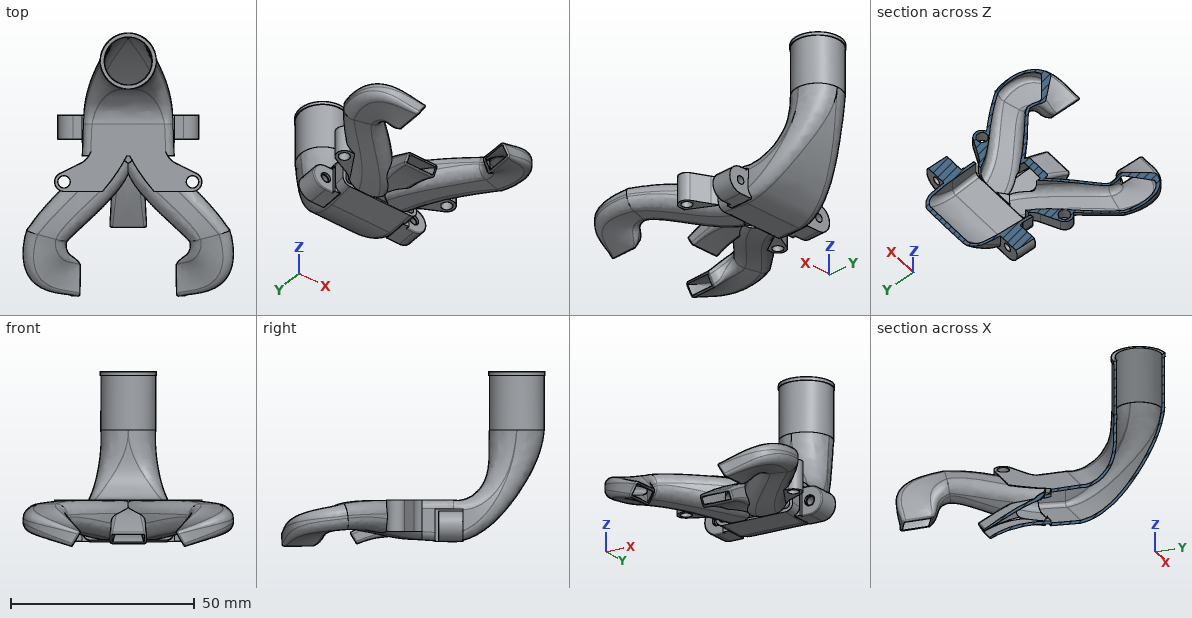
import cadquery as cq
import math


TUBE_DIAMETER = 15.0
RIM_DIAMETER = 15.3
RIM_HEIGHT = 1.0
TUBE_TOP = 34.9
TUBE_BOTTOM = 19.0
TUBE_WALL = 0.9

DUCT_WALL = 1.0
NOZZLE_WALL = 0.65
NOZZLE_EDGE = 0.35
SMALLEST_CORNER = 0.2

BODY_WIDTH = 24.35
BODY_HEIGHT = 11.45
BODY_CORNER = 2.3
BODY_REAR = -17.2
BODY_FRONT = -25.8
BODY_FRONT_WIDTH = 25.05
BODY_FRONT_HEIGHT = 10.9

SHOULDER_Y = -22.9
NECK_POINT = (10.8, -25.9)
FLANK_POINT = (13.25, -27.9)
V_APEX = (0, -25.05)
V_MIDDLE = (3.6, -31.1)
V_END_X = 7.0

EAR_X = 17.5
EAR_Y = -32.9
EAR_RADIUS = 2.6
EAR_DEPTH = 8.6
EAR_HOLE_DIAMETER = 3.3

LUG_X = 15.05
LUG_Z = -7.15
LUG_RADIUS = 4.15
LUG_REAR = -14.7
LUG_LENGTH = 6.65
LUG_EDGE = 0.3
LUG_ROOT_X = 10.75
PAD_X = 12.6
PAD_TOP = -2.5
PAD_LENGTH = 7.5
LUG_HOLE_DIAMETER = 2.5
LUG_MOUTH_DIAMETER = 3.1
LUG_MOUTH_DEPTH = 0.7

FORWARD = -90
ELBOW = [
    (0, 0, TUBE_BOTTOM, FORWARD, 90, TUBE_DIAMETER, TUBE_DIAMETER, 7.45),
    (0, -1.9, 8.6, FORWARD, 78, 16.3, 11.75, 5.7),
    (0, -7.4, -0.8, FORWARD, 42, 21.2, 9.2, 3.6),
    (0, -12.3, -4.6, FORWARD, 18, 23.6, 10.2, 2.85),
    (0, BODY_REAR, -BODY_HEIGHT / 2, FORWARD, 0, BODY_WIDTH, BODY_HEIGHT, BODY_CORNER),
]
BODY = [
    ELBOW[-1],
    (0, BODY_FRONT, -BODY_FRONT_HEIGHT / 2, FORWARD, 0, BODY_FRONT_WIDTH, BODY_FRONT_HEIGHT, BODY_CORNER),
]
ARM_LEG = [
    (3.7, -25.05, -5.45, -53, 0, 12.2, 10.75, 3.1),
    (11.1, -35.8, -4.8, -50, 0, 11.45, 9.3, 3.6),
    (16.5, -41.1, -4.3, -48, 3, 11.2, 8.15, 3.6),
    (22.05, -47.4, -4.6, -75, 7, 11.45, 7.0, 3.15),
]
ARM_HOOK = [
    ARM_LEG[-1],
    (22.7, -52.2, -5.5, -106, 14, 12.2, 6.3, 2.7),
    (21.35, -55.8, -6.7, -128, 21, 12.45, 5.7, 2.15),
    (18.25, -57.8, -8.5, -151, 28, 11.0, 5.15, 1.4),
    (14.1, -59.6, -10.7, -180, 31, 9.0, 4.7, 0.85),
]
CENTRE_NOZZLE = [
    (0, -24.35, -5.9, FORWARD, 0, 7.9, 9.3, 2.15),
    (0, -30.1, -6.0, FORWARD, 8, 8.9, 7.9, 1.8),
    (0, -37.2, -7.5, FORWARD, 21, 9.3, 5.4, 1.15),
    (0, -44.45, -10.45, FORWARD, 31, 10.0, 3.65, 0.7),
]


def flow_direction(heading, pitch):
    """Unit vector along the air flow."""
    heading_angle = math.radians(heading)
    pitch_angle = math.radians(pitch)
    return cq.Vector(
        math.cos(heading_angle) * math.cos(pitch_angle),
        math.sin(heading_angle) * math.cos(pitch_angle),
        -math.sin(pitch_angle),
    )


def section_wire(section, wall=0.0):
    """Rounded rectangle square to the flow, drawn inwards by the wall thickness."""
    x, y, z, heading, pitch, width, height, corner = section
    heading_angle = math.radians(heading)
    across = (-math.sin(heading_angle), math.cos(heading_angle), 0)
    plane = cq.Plane((x, y, z), across, flow_direction(heading, pitch).toTuple())
    a = width / 2 - wall
    b = height / 2 - wall
    r = max(corner - wall, SMALLEST_CORNER)
    bulge = r * (1 - math.sqrt(0.5))
    return (
        cq.Workplane(plane)
        .moveTo(r - a, -b)
        .lineTo(a - r, -b)
        .threePointArc((a - bulge, bulge - b), (a, r - b))
        .lineTo(a, b - r)
        .threePointArc((a - bulge, b - bulge), (a - r, b))
        .lineTo(r - a, b)
        .threePointArc((bulge - a, b - bulge), (-a, b - r))
        .lineTo(-a, r - b)
        .threePointArc((bulge - a, bulge - b), (r - a, -b))
        .close()
        .val()
    )


def duct(sections):
    """Solid outer form of a duct."""
    return cq.Workplane(cq.Solid.makeLoft([section_wire(s) for s in sections]))


def nozzle(sections):
    """Solid outer form of a duct with a rounded edge around its open end."""
    end_centre = sections[-1][:3]
    end_face = cq.selectors.NearestToPointSelector(end_centre)
    return duct(sections).faces(end_face).edges().fillet(NOZZLE_EDGE)


def passage(sections, end_wall=DUCT_WALL):
    """Air passage of a duct, with its own wall at the last section."""
    wires = [section_wire(s, DUCT_WALL) for s in sections[:-1]]
    wires.append(section_wire(sections[-1], end_wall))
    return cq.Workplane(cq.Solid.makeLoft(wires))


def cylinder(diameter, bottom, top):
    """Upright cylinder on the tube axis."""
    return cq.Workplane("XY").workplane(offset=bottom).circle(diameter / 2).extrude(top - bottom)


def ear_rim(angle):
    """Point on the round end of the ear."""
    return (EAR_X + EAR_RADIUS * math.cos(angle), EAR_Y + EAR_RADIUS * math.sin(angle))


def half_deck():
    """Flat deck on the +X side, from the mid-plane V out to the round ear with its tangent flank."""
    shoulder_x = BODY_WIDTH / 2 - BODY_CORNER
    flank_x, flank_y = FLANK_POINT
    reach = math.hypot(EAR_X - flank_x, EAR_Y - flank_y)
    bearing = math.atan2(EAR_Y - flank_y, EAR_X - flank_x)
    tangent_angle = bearing + math.asin(EAR_RADIUS / reach) + math.pi / 2
    middle_angle = (tangent_angle - math.pi / 2) / 2
    front_y = EAR_Y - EAR_RADIUS
    return (
        cq.Workplane("XY")
        .moveTo(0, SHOULDER_Y)
        .lineTo(shoulder_x, SHOULDER_Y)
        .threePointArc(NECK_POINT, FLANK_POINT)
        .lineTo(*ear_rim(tangent_angle))
        .threePointArc(ear_rim(middle_angle), (EAR_X, front_y))
        .lineTo(V_END_X, front_y)
        .threePointArc(V_MIDDLE, V_APEX)
        .close()
        .extrude(-EAR_DEPTH)
    )


def lug():
    """Side lug with a round outer end and softened edges on its front face."""
    return (
        cq.Workplane("XZ", origin=(0, LUG_REAR, 0))
        .moveTo(LUG_ROOT_X, LUG_Z - LUG_RADIUS)
        .lineTo(LUG_X, LUG_Z - LUG_RADIUS)
        .threePointArc((LUG_X + LUG_RADIUS, LUG_Z), (LUG_X, LUG_Z + LUG_RADIUS))
        .lineTo(LUG_ROOT_X, LUG_Z + LUG_RADIUS)
        .close()
        .extrude(LUG_LENGTH)
        .faces("<Y")
        .edges()
        .fillet(LUG_EDGE)
    )


def lug_pad():
    """Shallow pad that joins the lug to the side of the body."""
    bottom = LUG_Z - LUG_RADIUS
    pad = cq.Workplane("XY").box(PAD_X - LUG_ROOT_X, PAD_LENGTH, PAD_TOP - bottom, centered=False)
    return pad.translate((LUG_ROOT_X, LUG_REAR - PAD_LENGTH, bottom))


def lug_hole():
    """Bore right through the lug with a wider mouth at the front."""
    front = cq.Workplane("XZ", origin=(LUG_X, LUG_REAR - LUG_LENGTH, LUG_Z))
    bore = front.circle(LUG_HOLE_DIAMETER / 2).extrude(-LUG_LENGTH)
    return bore.union(front.circle(LUG_MOUTH_DIAMETER / 2).extrude(-LUG_MOUTH_DEPTH))


def ear_hole():
    """Bore right through the ear."""
    return cq.Workplane("XY").center(EAR_X, EAR_Y).circle(EAR_HOLE_DIAMETER / 2).extrude(-EAR_DEPTH)


outer = cylinder(TUBE_DIAMETER, TUBE_BOTTOM, TUBE_TOP)
outer = outer.union(cylinder(RIM_DIAMETER, TUBE_TOP - RIM_HEIGHT, TUBE_TOP))
outer = outer.union(duct(ELBOW)).union(duct(BODY)).union(nozzle(CENTRE_NOZZLE))
for side_part in (duct(ARM_LEG), nozzle(ARM_HOOK), half_deck(), lug_pad(), lug()):
    outer = outer.union(side_part).union(side_part.mirror("YZ"))

result = outer.cut(cylinder(TUBE_DIAMETER - 2 * TUBE_WALL, TUBE_BOTTOM, TUBE_TOP))
result = result.cut(passage(ELBOW)).cut(passage(BODY)).cut(passage(CENTRE_NOZZLE, NOZZLE_WALL))

for side_cut in (passage(ARM_LEG), passage(ARM_HOOK, NOZZLE_WALL), ear_hole(), lug_hole()):
    result = result.cut(side_cut).cut(side_cut.mirror("YZ"))